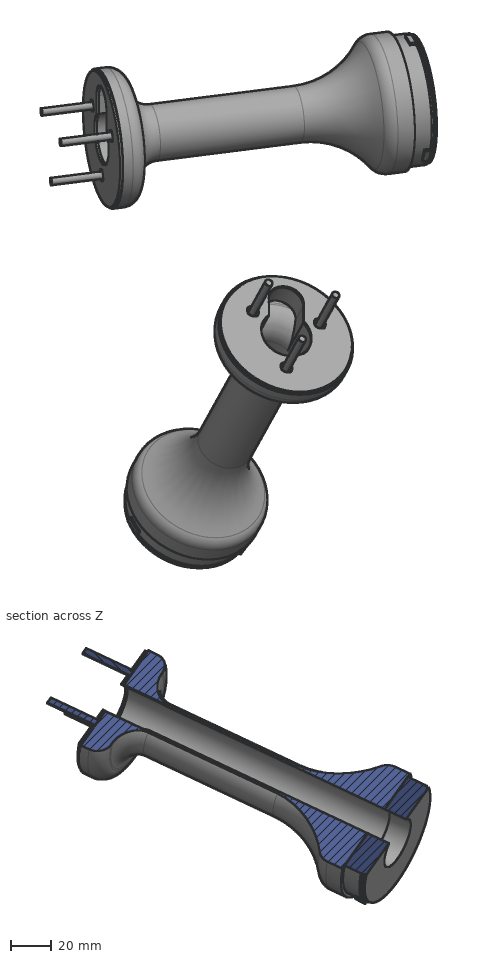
import cadquery as cq
import math

outer_radius = 35.0
stem_radius = 14.2
wall = 1.1
bore_radius = stem_radius - wall

plate_radius = 34.0
plate_thickness = 1.3

edge_radius = 8.0
foot_edge_start = 6.5
foot_top = foot_edge_start + edge_radius
foot_blend = 12.0
stem_start = foot_top + foot_blend

stem_end = 100.2
head_edge_end = 142.3
head_top = 151.0

cap_top = 163.1
cap_radius = 32.9
rim_radius = 32.3
bead_radius = cap_radius
groove_radius = 32.7
rim_height = 1.0
bead_crest = cap_top - 1.7
bead_bottom = cap_top - 2.8
lug_count = 3
lug_width = 8.9
lug_height = 3.2
lug_radius = 33.8

slot_width = 18.1
slot_reach = 28.5

pin_count = 3
pin_radius = 1.9
pin_circle_radius = 20.0
pin_hole_radius = 3.0
pin_length_below_plate = 25.9


def arc_point(center, radius, angle):
    """Point of a circle in the (radius, Y) half-plane."""
    return (center[0] + radius * math.cos(angle), center[1] + radius * math.sin(angle))


def revolve_y(profile):
    """Turn a closed (radius, Y) profile once about the Y axis."""
    return profile.close().revolve(360, (0, 0, 0), (0, 1, 0))


def cylinder_y(radius, start, end, x=0, z=0):
    """Cylinder along Y between two Y positions."""
    return cq.Workplane("XZ", origin=(x, start, z)).circle(radius).extrude(start - end)


def foot_profile(start, inset):
    """Foot flange outline from Y = start up to the stem, set inward by inset."""
    edge = edge_radius - inset
    blend = foot_blend + inset
    edge_center = (outer_radius - edge_radius, foot_edge_start)
    blend_center = (stem_radius + foot_blend, stem_start)
    return (
        cq.Workplane("XY")
        .moveTo(0, start)
        .lineTo(outer_radius - inset, start)
        .lineTo(outer_radius - inset, foot_edge_start)
        .threePointArc(
            arc_point(edge_center, edge, math.radians(45)),
            (edge_center[0], foot_top - inset),
        )
        .lineTo(blend_center[0], foot_top - inset)
        .threePointArc(
            arc_point(blend_center, blend, math.radians(225)),
            (stem_radius - inset, stem_start),
        )
    )


def make_slot(start, end):
    """Prism with a round outer end, reaching from the bore axis toward +Z."""
    end_radius = slot_width / 2
    end_center = slot_reach - end_radius
    straight = (
        cq.Workplane("XY")
        .box(slot_width, end - start, end_center, centered=(True, False, False))
        .translate((0, start, 0))
    )
    return straight.union(cylinder_y(end_radius, start, end, z=end_center))


def make_handle():
    radius_step = outer_radius - stem_radius
    length_step = head_edge_end - stem_end
    center_distance = (radius_step**2 + length_step**2) / (2 * radius_step)
    head_blend = center_distance - edge_radius
    blend_center = (stem_radius + head_blend, stem_end)
    edge_center = (outer_radius - edge_radius, head_edge_end)
    blend_angle = math.asin(length_step / center_distance)

    profile = (
        foot_profile(plate_thickness, 0)
        .lineTo(stem_radius, stem_end)
        .threePointArc(
            arc_point(blend_center, head_blend, math.pi - blend_angle / 2),
            arc_point(blend_center, head_blend, math.pi - blend_angle),
        )
        .threePointArc(
            arc_point(edge_center, edge_radius, -blend_angle / 2),
            (outer_radius, head_edge_end),
        )
        .lineTo(outer_radius, head_top)
        .lineTo(0, head_top)
    )
    body = revolve_y(profile).cut(cylinder_y(bore_radius, plate_thickness, head_top))

    slot_limit = revolve_y(foot_profile(plate_thickness, wall).lineTo(0, stem_start))
    return body.cut(make_slot(plate_thickness, stem_start).intersect(slot_limit))


def pin_positions():
    """(X, Z) of each pin, the first one straight below the axis."""
    angles = [math.radians(-90 + 360 * i / pin_count) for i in range(pin_count)]
    return [(pin_circle_radius * math.cos(a), pin_circle_radius * math.sin(a)) for a in angles]


def make_base_plate():
    plate = cylinder_y(plate_radius, 0, plate_thickness)
    plate = plate.cut(cylinder_y(bore_radius, 0, plate_thickness))
    plate = plate.cut(make_slot(0, plate_thickness))
    for x, z in pin_positions():
        plate = plate.cut(cylinder_y(pin_hole_radius, 0, plate_thickness, x, z))
    return plate


def make_cap():
    profile = (
        cq.Workplane("XY")
        .moveTo(bore_radius, head_top)
        .lineTo(cap_radius, head_top)
        .lineTo(cap_radius, bead_bottom)
        .lineTo(groove_radius, bead_bottom)
        .lineTo(bead_radius, bead_crest)
        .lineTo(rim_radius, cap_top - rim_height)
        .lineTo(rim_radius, cap_top)
        .lineTo(bore_radius, cap_top)
    )
    cap = revolve_y(profile)
    lug_root = (bore_radius + cap_radius) / 2
    for i in range(lug_count):
        lug = (
            cq.Workplane("XY")
            .box(lug_width, lug_height, lug_radius - lug_root, centered=(True, False, False))
            .translate((0, bead_bottom - lug_height, lug_root))
            .rotate((0, 0, 0), (0, 1, 0), 360 * i / lug_count)
        )
        cap = cap.union(lug)
    return cap


def make_pin(x, z):
    """Pin standing on the handle and passing through its hole in the base plate."""
    return cylinder_y(pin_radius, -pin_length_below_plate, plate_thickness, x, z)


handle = make_handle()
base_plate = make_base_plate()
cap = make_cap()
pins = [make_pin(x, z) for x, z in pin_positions()]

result = cq.Compound.makeCompound(
    [handle.val(), base_plate.val(), cap.val(), *[pin.val() for pin in pins]]
)